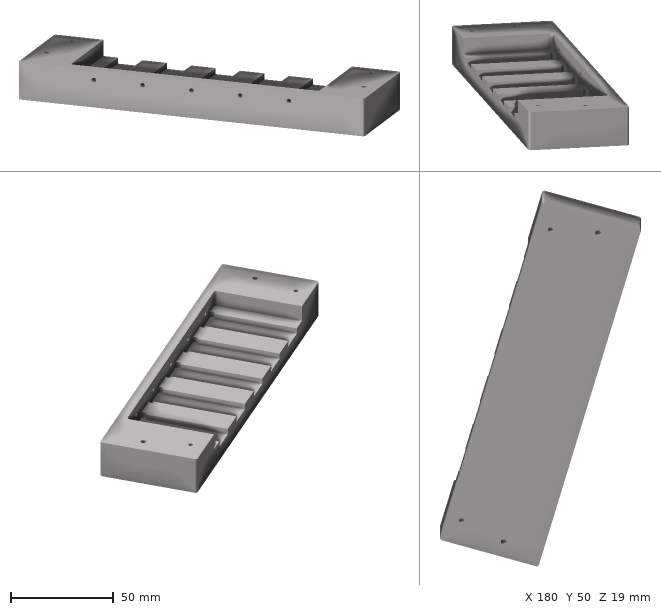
import cadquery as cq

LENGTH = 180.0
WIDTH = 50.0
HEIGHT = 19.0
CORNER_RADIUS = 1.0

RECESS_LENGTH = 129.2
RECESS_DEPTH = 8.3
RECESS_CORNER_RADIUS = 1.5
FRONT_WALL = 5.0

CHANNEL_COUNT = 5
CHANNEL_PITCH = 25.4
CHANNEL_WIDTH = 12.6
CHANNEL_DEPTH = 3.0
RELIEF_WIDTH = 2.7
RELIEF_OVERHANG = 1.6

WALL_HOLE_DIAMETER = 2.3
WALL_HOLE_DROP = 5.2
BACK_HOLE_DIAMETER = 2.3
BACK_HOLE_X = 77.5
BACK_HOLE_Y = 17.5
SIDE_HOLE_DIAMETER = 2.7
SIDE_HOLE_X = 82.5
SIDE_HOLE_Y = -5.2

recess_floor = HEIGHT - RECESS_DEPTH
channel_floor = recess_floor - CHANNEL_DEPTH
recess_front = FRONT_WALL - WIDTH / 2
recess_width = WIDTH - FRONT_WALL
recess_center_y = recess_front + recess_width / 2
channel_centers = [
    (i - (CHANNEL_COUNT - 1) / 2) * CHANNEL_PITCH for i in range(CHANNEL_COUNT)
]


def make_block():
    block = cq.Workplane("XY").box(LENGTH, WIDTH, HEIGHT, centered=(True, True, False))
    return block.edges("|Z").fillet(CORNER_RADIUS)


def make_recess():
    """Open-backed recess, rounded only at its two front corners."""
    recess = (
        cq.Workplane("XY", origin=(0, recess_center_y, recess_floor))
        .box(RECESS_LENGTH, recess_width, RECESS_DEPTH, centered=(True, True, False))
    )
    return recess.faces("<Y").edges("|Z").fillet(RECESS_CORNER_RADIUS)


def make_channel(center_x):
    """Channel running to the back, widened at its front end by a relief slot."""
    channel = (
        cq.Workplane("XY", origin=(center_x, recess_center_y, channel_floor))
        .rect(CHANNEL_WIDTH, recess_width)
        .extrude(CHANNEL_DEPTH)
    )
    relief = (
        cq.Workplane("XY", origin=(center_x, recess_front + RELIEF_WIDTH / 2, channel_floor))
        .slot2D(CHANNEL_WIDTH + 2 * RELIEF_OVERHANG, RELIEF_WIDTH)
        .extrude(CHANNEL_DEPTH)
    )
    return channel.union(relief)


def make_wall_hole(center_x):
    """Hole through the front wall, ending inside the recess."""
    return (
        cq.Workplane("XZ", origin=(center_x, -WIDTH / 2, HEIGHT - WALL_HOLE_DROP))
        .circle(WALL_HOLE_DIAMETER / 2)
        .extrude(-2 * FRONT_WALL)
    )


def make_end_holes(diameter, x, y):
    """Matching vertical through holes in the two end blocks."""
    return (
        cq.Workplane("XY")
        .pushPoints([(-x, y), (x, y)])
        .circle(diameter / 2)
        .extrude(HEIGHT)
    )


result = make_block().cut(make_recess())
for center in channel_centers:
    result = result.cut(make_channel(center))
    result = result.cut(make_wall_hole(center))
result = result.cut(make_end_holes(BACK_HOLE_DIAMETER, BACK_HOLE_X, BACK_HOLE_Y))
result = result.cut(make_end_holes(SIDE_HOLE_DIAMETER, SIDE_HOLE_X, SIDE_HOLE_Y))